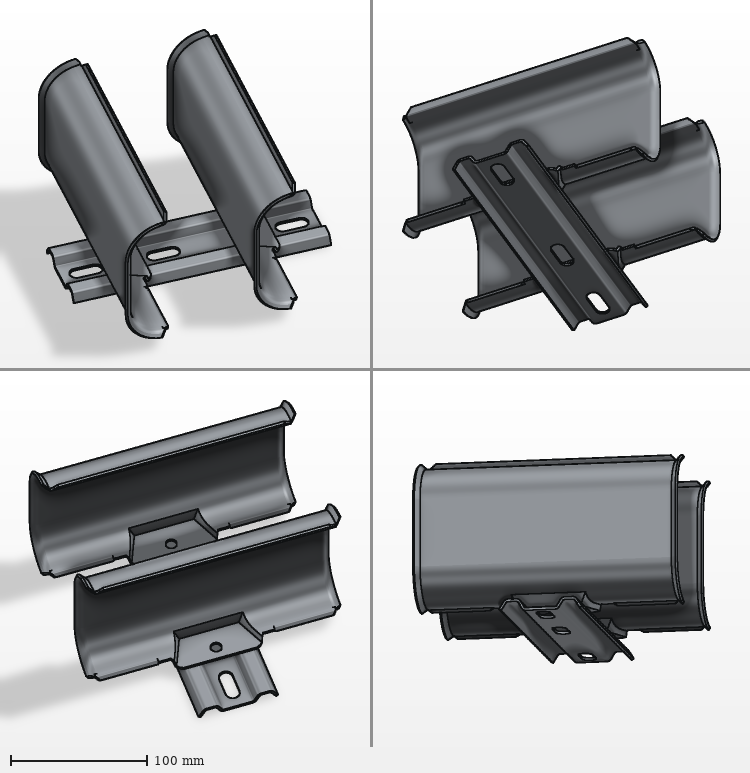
import cadquery as cq
import math


SHEET = 2.0
SHARP_BEND = SHEET / 2
BRACKET_PITCH = 100.0
BRACKET_COUNT = 2

RAIL_LENGTH = 200.0
RAIL_HEIGHT = 9.0
RAIL_WEB_HALF = 12.5
RAIL_CREST_INNER = 16.5
RAIL_CREST_OUTER = 25.8
RAIL_LEG_HALF = 30.2
RAIL_BEND = 3.0
SLOT_LENGTH = 25.5
SLOT_WIDTH = 10.5
SLOT_YS = (-80.0, -20.0, 80.0)

SHELL_FRONT = -79.5
SHELL_RADIUS = 27.0
SHELL_BOTTOM = 13.0
SHELL_TOP = 117.5
ARC_CENTER_Y = SHELL_FRONT + SHELL_RADIUS
UPPER_ARC_CENTER_Z = SHELL_TOP - SHELL_RADIUS
UPPER_ARC = 80.0
FLAT_HALF = 94.0
FLARE_DEPTH = 3.5
FLARE_INNER_RADIUS = 7.0
CORNER_CUT_X = 90.5
CORNER_CUT_Y = -47.2

OVERALL_HEIGHT = 122.5
UPPER_CREASE_Y = -50.8
UPPER_LIP_LEAN = 20.0
UPPER_LIP_TIP_HALF = 87.8

LOWER_CREASE_Y = -50.2
LOWER_LIP_DROP = 2.2
LOWER_LIP_INNER_X = 48.5
LOWER_LIP_OUTER_X = 90.5
LOWER_LIP_TAPER = 3.2

TAB_HALF = LOWER_LIP_INNER_X - LOWER_LIP_TAPER
FOOT_BACK = -47.8
TAB_EDGE = ((35.8, FOOT_BACK), (33.5, -43.5), (31.5, -41.0), (28.5, -39.5))
PAN_FRONT_Y = -67.0
PAN_FRONT_HALF = 23.5
PAN_REAR_Y = -36.0
PAN_SPLAY = 23.5
PAN_SIDE_DRAFT = 0.48
PAN_FRONT_DRAFT = 0.2
PAN_HEIGHT = 14.0
HOLE_DIAMETER = 8.5
HOLE_Y = -49.5


def rounded_outline(plane, corners):
    """Closed wire through (u, v, radius) corners; a radius of 0 leaves the corner sharp."""
    stretches = []
    for index, (u, v, radius) in enumerate(corners):
        corner = cq.Vector(u, v)
        before = (cq.Vector(*corners[index - 1][:2]) - corner).normalized()
        after = (cq.Vector(*corners[(index + 1) % len(corners)][:2]) - corner).normalized()
        if radius == 0:
            stretches.append((corner,))
            continue
        half_angle = before.getAngle(after) / 2
        tangent = radius / math.tan(half_angle)
        to_arc = radius / math.sin(half_angle) - radius
        middle = corner + (before + after).normalized() * to_arc
        stretches.append((corner + before * tangent, middle, corner + after * tangent))

    outline = cq.Workplane(plane).moveTo(*stretches[0][-1].toTuple()[:2])
    for stretch in stretches[1:] + stretches[:1]:
        points = [point.toTuple()[:2] for point in stretch]
        outline = outline.lineTo(*points[0])
        if len(points) > 1:
            outline = outline.threePointArc(points[1], points[2])
    return outline.close()


def sheet_outline(plane, centreline, bend):
    """Closed wire of a bent sheet; bend is the radius of every bend on its centreline."""
    points = [cq.Vector(*point) for point in centreline]
    directions = [(end - start).normalized() for start, end in zip(points, points[1:])]
    normals = [cq.Vector(-way.y, way.x) for way in directions]
    left = []
    right = []
    for index, point in enumerate(points):
        first = normals[max(index - 1, 0)]
        second = normals[min(index, len(normals) - 1)]
        offset = (first + second) * (SHEET / 2 / (1 + first.dot(second)))
        is_bend = 0 < index < len(points) - 1
        turn = math.copysign(SHEET / 2, first.cross(second).z)
        left_point = point + offset
        right_point = point - offset
        left.append((left_point.x, left_point.y, bend - turn if is_bend else 0))
        right.append((right_point.x, right_point.y, bend + turn if is_bend else 0))
    return rounded_outline(plane, left + right[::-1])


def make_rail():
    low = SHEET / 2
    high = RAIL_HEIGHT - SHEET / 2
    right_half = [
        (RAIL_WEB_HALF, low),
        (RAIL_CREST_INNER, high),
        (RAIL_CREST_OUTER, high),
        (RAIL_LEG_HALF, low),
    ]
    left_half = [(-x, z) for x, z in reversed(right_half)]
    rail = sheet_outline("XZ", left_half + right_half, RAIL_BEND).extrude(RAIL_LENGTH / 2, both=True)
    slots = (
        cq.Workplane("XY")
        .pushPoints([(0, y) for y in SLOT_YS])
        .slot2D(SLOT_LENGTH, SLOT_WIDTH, 90)
        .extrude(RAIL_HEIGHT)
    )
    return rail.cut(slots)


def upper_curve_point(angle, depth=0):
    """(y, z) on the upper curve, angle degrees up from the upright wall, depth inside the outer face."""
    radius = SHELL_RADIUS - depth
    turn = math.radians(angle)
    return ARC_CENTER_Y - radius * math.cos(turn), UPPER_ARC_CENTER_Z + radius * math.sin(turn)


def upper_strip_point(y, depth=0):
    """(y, z) on the straight strip that continues the upper curve towards the lip."""
    curve_end_y, curve_end_z = upper_curve_point(UPPER_ARC, depth)
    return y, curve_end_z + (y - curve_end_y) / math.tan(math.radians(UPPER_ARC))


def make_shell():
    """Flanged cross-section swept along the C, its ends just short of where the lips bend."""
    start = cq.Vector(0, LOWER_CREASE_Y - SHEET / 2, SHELL_BOTTOM)
    lower_z = SHELL_BOTTOM + SHELL_RADIUS
    reach = SHELL_RADIUS * math.sqrt(0.5)
    path = (
        cq.Workplane("YZ")
        .moveTo(start.y, start.z)
        .lineTo(ARC_CENTER_Y, SHELL_BOTTOM)
        .threePointArc((ARC_CENTER_Y - reach, lower_z - reach), (SHELL_FRONT, lower_z))
        .lineTo(SHELL_FRONT, UPPER_ARC_CENTER_Z)
        .threePointArc(upper_curve_point(UPPER_ARC / 2), upper_curve_point(UPPER_ARC))
        .lineTo(*upper_strip_point(UPPER_CREASE_Y - SHEET / 2))
    )
    inner_flat_half = FLAT_HALF + SHEET * math.tan(math.radians(22.5))
    flare_tip = FLAT_HALF + FLARE_DEPTH
    square_end = SHEET * math.sqrt(0.5)
    right_half = [
        (FLAT_HALF, 0, 0),
        (flare_tip, -FLARE_DEPTH, 0),
        (flare_tip + square_end, square_end - FLARE_DEPTH, 0),
        (inner_flat_half, SHEET, FLARE_INNER_RADIUS),
    ]
    left_half = [(-x, z, radius) for x, z, radius in reversed(right_half)]
    section_plane = cq.Plane(origin=start, xDir=(1, 0, 0), normal=(0, -1, 0))
    return rounded_outline(section_plane, right_half + left_half).sweep(path)


def make_corner_cut():
    """Prism that trims the rear corner at the +X end at 45 degrees in plan."""
    size = SHELL_RADIUS
    return (
        cq.Workplane("XY")
        .moveTo(CORNER_CUT_X, CORNER_CUT_Y)
        .lineTo(CORNER_CUT_X + size, CORNER_CUT_Y - size)
        .lineTo(CORNER_CUT_X + size, CORNER_CUT_Y + SHEET)
        .lineTo(CORNER_CUT_X, CORNER_CUT_Y + SHEET)
        .close()
        .extrude(OVERALL_HEIGHT)
    )


def make_upper_lip():
    """Lip turned up along the top edge, its ends cut at 45 degrees."""
    strip_start = upper_curve_point(UPPER_ARC, SHEET / 2)
    strip_end = upper_strip_point(UPPER_CREASE_Y, SHEET / 2)
    rise = OVERALL_HEIGHT - SHEET / 2 * math.sin(math.radians(UPPER_LIP_LEAN)) - strip_end[1]
    tip = (UPPER_CREASE_Y + rise * math.tan(math.radians(UPPER_LIP_LEAN)), strip_end[1] + rise)
    centreline = [strip_start, strip_end, tip]
    lip = sheet_outline("YZ", centreline, SHARP_BEND).extrude(FLAT_HALF, both=True)
    bottom = UPPER_ARC_CENTER_Z
    root_half = UPPER_LIP_TIP_HALF + OVERALL_HEIGHT - bottom
    taper = (
        cq.Workplane("XZ")
        .polyline([
            (-root_half, bottom),
            (root_half, bottom),
            (UPPER_LIP_TIP_HALF, OVERALL_HEIGHT),
            (-UPPER_LIP_TIP_HALF, OVERALL_HEIGHT),
        ])
        .close()
        .extrude(-SHELL_FRONT)
    )
    return lip.intersect(taper)


def make_lower_lip():
    """Lip turned down at the rear of the foot, on the +X side."""
    edge_z = SHELL_BOTTOM + SHEET / 2
    centreline = [
        (ARC_CENTER_Y, edge_z),
        (LOWER_CREASE_Y, edge_z),
        (LOWER_CREASE_Y + LOWER_LIP_DROP, edge_z - LOWER_LIP_DROP),
    ]
    lip = sheet_outline("YZ", centreline, SHARP_BEND).extrude(FLAT_HALF)
    bottom = edge_z - LOWER_LIP_DROP - SHEET / 2
    taper = (
        cq.Workplane("XZ")
        .polyline([
            (LOWER_LIP_INNER_X, bottom),
            (LOWER_LIP_OUTER_X, bottom),
            (LOWER_LIP_OUTER_X + LOWER_LIP_TAPER, SHELL_BOTTOM),
            (LOWER_LIP_OUTER_X + LOWER_LIP_TAPER, SHELL_BOTTOM + SHEET),
            (TAB_HALF, SHELL_BOTTOM + SHEET),
            (TAB_HALF, SHELL_BOTTOM),
        ])
        .close()
        .extrude(-SHELL_FRONT)
    )
    return lip.intersect(taper)


def tab_blank(bottom, height):
    """Prism with the plan shape of the tab that the pan is pressed into."""
    right_edge = [(TAB_HALF, ARC_CENTER_Y), (TAB_HALF, FOOT_BACK), *TAB_EDGE]
    left_edge = [(-x, y) for x, y in reversed(right_edge)]
    return (
        cq.Workplane("XY", origin=(0, 0, bottom)).polyline(right_edge + left_edge).close().extrude(height)
    )


def pan_block(inset, bottom):
    """Solid pan with drafted front and side walls, its walls moved inwards by inset."""
    splay = math.radians(PAN_SPLAY)

    def plan(z):
        rise = z - RAIL_HEIGHT
        front_y = PAN_FRONT_Y - PAN_FRONT_DRAFT * rise + inset
        widening = (PAN_SIDE_DRAFT * rise - inset) / math.cos(splay)
        front_half = PAN_FRONT_HALF + widening + (front_y - PAN_FRONT_Y) * math.tan(splay)
        rear_half = PAN_FRONT_HALF + widening + (PAN_REAR_Y - PAN_FRONT_Y) * math.tan(splay)
        return [(-front_half, front_y), (front_half, front_y), (rear_half, PAN_REAR_Y), (-rear_half, PAN_REAR_Y)]

    top = RAIL_HEIGHT + PAN_HEIGHT
    return (
        cq.Workplane("XY", origin=(0, 0, bottom))
        .polyline(plan(bottom)).close()
        .workplane(offset=top - bottom)
        .polyline(plan(top)).close()
        .loft(ruled=True)
    )


def make_tray_space():
    """Space above the foot and behind the lower curve, as wide as the bracket."""
    radius = SHELL_RADIUS - SHEET
    floor_z = SHELL_BOTTOM + SHEET
    centre_z = floor_z + radius
    reach = radius * math.sqrt(0.5)
    return (
        cq.Workplane("YZ")
        .moveTo(PAN_REAR_Y, floor_z)
        .lineTo(ARC_CENTER_Y, floor_z)
        .threePointArc((ARC_CENTER_Y - reach, centre_z - reach), (ARC_CENTER_Y - radius, centre_z))
        .lineTo(PAN_REAR_Y, centre_z)
        .close()
        .extrude(FLAT_HALF, both=True)
    )


def make_bracket():
    front_limit = (
        cq.Workplane("XY", origin=(0, SHELL_FRONT, RAIL_HEIGHT))
        .rect(2 * TAB_HALF, 2 * (ARC_CENTER_Y - SHELL_FRONT))
        .extrude(PAN_HEIGHT)
    )
    pan_limit = tab_blank(RAIL_HEIGHT, PAN_HEIGHT).union(front_limit)
    pan = pan_block(0, RAIL_HEIGHT).intersect(pan_limit).cut(make_tray_space())

    lower_lip = make_lower_lip()
    corner_cut = make_corner_cut()
    bracket = (
        make_shell()
        .union(make_upper_lip())
        .union(lower_lip)
        .union(lower_lip.mirror("YZ"))
        .union(tab_blank(SHELL_BOTTOM, SHEET))
        .union(pan)
        .cut(corner_cut)
        .cut(corner_cut.mirror("YZ"))
        .cut(pan_block(SHEET, RAIL_HEIGHT + SHEET))
    )
    hole = cq.Workplane("XY").center(0, HOLE_Y).circle(HOLE_DIAMETER / 2).extrude(SHELL_BOTTOM)
    return bracket.cut(hole)


rail = make_rail()
bracket = make_bracket()
brackets = [
    bracket.translate((0, index * BRACKET_PITCH, 0)) for index in range(BRACKET_COUNT)
]

result = cq.Compound.makeCompound([rail.val(), *[copy.val() for copy in brackets]])